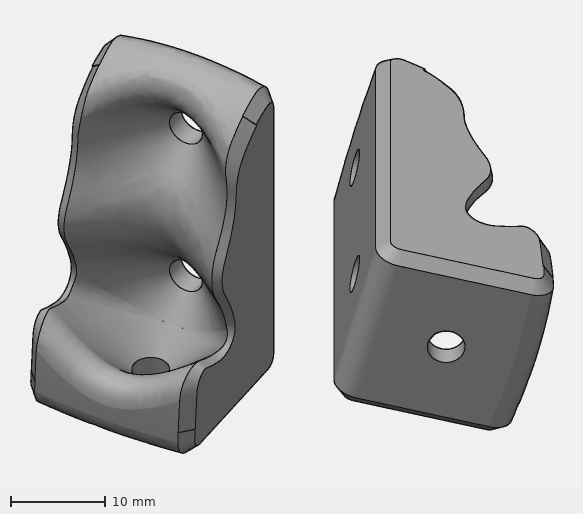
import cadquery as cq
import math

width = 20.0
apex_offset = 0.5
hole_diameter = 4.0
edge_radius = 2.5
crease_radius = 2.0
ridge_radius = 7.5
side_chamfer = 1.25

crease_gap = 1.2
split_y = -5.55
foot_split_z = 3.95
inner_z = 31.7

search_margin = 3.15
side_clearance = 0.2

half_width = width / 2
dome_depth = width
dome_radius = 2 * width
lower_axis_z = half_width
upper_axis_z = lower_axis_z + width
vertical_axis_y = -half_width
ridge_z = (lower_axis_z + upper_axis_z) / 2
crease_z = (half_width + apex_offset) / 2
upper_rim_z = 0.9 * dome_radius
reach = 2 * dome_radius


def domed_column():
    """Square column trimmed by an ellipsoid centred on the lower back edge."""
    dome = (
        cq.Workplane("XY")
        .moveTo(0, -dome_depth)
        .ellipseArc(dome_radius, dome_depth, 270, 360, startAtCurrent=True)
        .lineTo(0, 0)
        .close()
        .revolve(360, (0, 0, 0), (0, 1, 0))
    )
    column = cq.Workplane("XY").center(0, -dome_depth / 2).rect(width, dome_depth).extrude(dome_radius)
    return column.intersect(dome)


def back_cone(axis_z):
    """Right-angled cone that opens towards the front from a tip near the back."""
    return (
        cq.Workplane("YZ", origin=(0, -apex_offset, axis_z))
        .polyline([(0, 0), (-reach, 0), (-reach, -reach)])
        .close()
        .revolve(360, (0, 0), (1, 0))
    )


def base_cone():
    """Right-angled cone that opens upwards from a tip near the base."""
    return (
        cq.Workplane("YZ", origin=(0, vertical_axis_y, apex_offset))
        .polyline([(0, 0), (0, reach), (reach, reach)])
        .close()
        .revolve(360, (0, 0), (0, 1))
    )


def wedge(corner_y, corner_z):
    """Space between the diagonal mitre plane Z = -Y and the axis that holds the given corner."""
    return (
        cq.Workplane("YZ")
        .polyline([(0, 0), (-reach, reach), (corner_y, corner_z)])
        .close()
        .extrude(reach, both=True)
    )


def cut_scoops(body):
    """Cut two scoops from the front and one from above; the lower two meet on a mitre plane."""
    above_ridge = cq.Workplane("XY", origin=(0, 0, ridge_z)).rect(reach, 2 * reach).extrude(reach)
    upper_scoop = back_cone(upper_axis_z).intersect(above_ridge)
    lower_scoop = back_cone(lower_axis_z).intersect(wedge(0, reach))
    base_scoop = base_cone().intersect(wedge(-reach, 0))
    return body.cut(upper_scoop).cut(lower_scoop).cut(base_scoop)


def crosswise_edges(body, y, z):
    """Edges that run from side to side and have their centre close to the given Y and Z."""
    inside = half_width - side_clearance
    low_corner = (-inside, y - search_margin, z - search_margin)
    high_corner = (inside, y + search_margin, z + search_margin)
    return body.edges(cq.selectors.BoxSelector(low_corner, high_corner))


def fill_crease(body):
    """Round the crease of the lower scoops with one fillet fill at each side of its middle."""
    middle = cq.Workplane("XY").box(2 * crease_gap, 2 * reach, 2 * reach)
    for piece in body.cut(middle).solids().vals():
        sharp = cq.Workplane(piece)
        rounded = crosswise_edges(sharp, -crease_z, crease_z).fillet(crease_radius)
        body = body.union(rounded.cut(sharp))
    return body


def round_edges(body):
    """Round the ridge, the three outer edges and the two scoop rims."""
    body = crosswise_edges(body, -half_width, ridge_z).fillet(ridge_radius)
    outer_edges = [(0, dome_radius), (0, 0), (-dome_depth, 0)]
    scoop_rims = [(-half_width, upper_rim_z), (-dome_depth, lower_axis_z)]
    for y, z in outer_edges + scoop_rims:
        body = crosswise_edges(body, y, z).fillet(edge_radius)
    return body


def scoop_region():
    """Space around the scoops whose boundary crosses the side outline squarely on the dome.

    It crosses near the foot of the front and, along a normal of the outline, on the sloping top.
    """
    split_z = math.sqrt(dome_radius**2 - half_width**2 - (dome_radius / dome_depth * split_y) ** 2)
    normal_slope = (dome_radius / dome_depth) ** 2 * split_y / split_z
    inner_y = split_y - normal_slope * (split_z - inner_z)
    outer_y = split_y + normal_slope * (dome_radius - split_z)
    return (
        cq.Workplane("YZ")
        .moveTo(inner_y, inner_z)
        .lineTo(outer_y, dome_radius)
        .lineTo(-reach, dome_radius)
        .lineTo(-reach, foot_split_z)
        .lineTo(inner_y, foot_split_z)
        .close()
        .extrude(reach, both=True)
    )


def bevel_outline(piece, y, z):
    """Bevel both side outlines along the smooth chain through the edge nearest to Y, Z."""
    for x in (-half_width, half_width):
        start = cq.selectors.NearestToPointSelector((x, y, z))
        piece = piece.edges(start).chamfer(side_chamfer)
    return piece


def bevel_sides(body):
    """Bevel the sides in two pieces, as one closed chain would give the scoops uneven bevels."""
    region = scoop_region()
    scoop_piece = bevel_outline(body.intersect(region), -dome_depth, foot_split_z)
    back_piece = bevel_outline(body.cut(region), 0, ridge_z)
    return scoop_piece.union(back_piece)


def drill_holes(body):
    """Drill a through hole along the axis of each scoop."""
    back_holes = (
        cq.Workplane("XZ")
        .pushPoints([(0, lower_axis_z), (0, upper_axis_z)])
        .circle(hole_diameter / 2)
        .extrude(reach, both=True)
    )
    base_hole = (
        cq.Workplane("XY")
        .center(0, vertical_axis_y)
        .circle(hole_diameter / 2)
        .extrude(reach, both=True)
    )
    return body.cut(back_holes).cut(base_hole)


scooped = fill_crease(cut_scoops(domed_column()))
result = drill_holes(bevel_sides(round_edges(scooped))).solids()